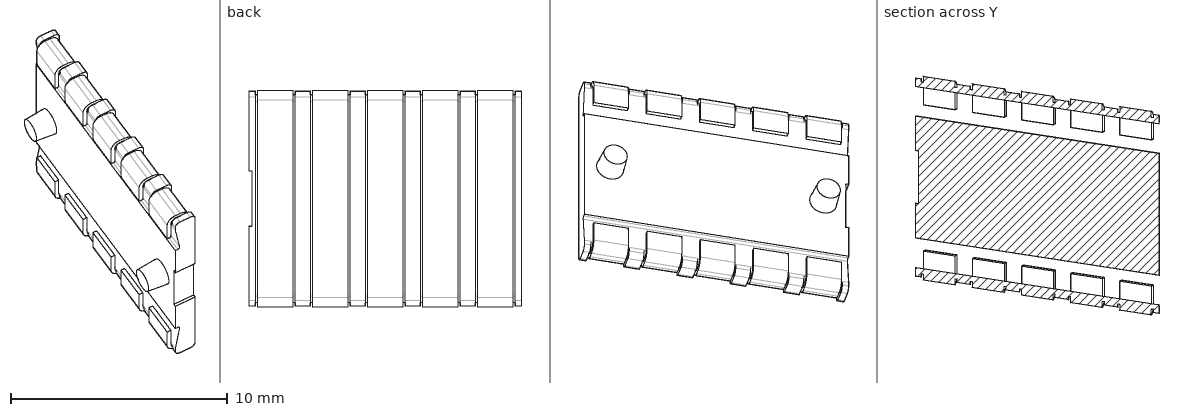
import cadquery as cq


length = 12.6
board_height = 9.93
board_depth = 1.07
board_back_radius = 0.26
board_front_radius = 0.25

plateau_height = 5.92
trough_top_offset = 0.47
trough_depth = 0.25
trough_fillet = 0.1

contact_count = 5
contact_span = 10.15
contact_pitch = contact_span / (contact_count - 1)
contact_width = 1.65
contact_height = 10.0
contact_thickness = 0.2
contact_back_depth = 0.13
contact_bend_radius = 0.44
tab_length = 1.46
slot_width = 1.83

core_back_depth = contact_back_depth + contact_thickness
core_height = contact_height - 2 * contact_thickness
core_back_radius = 0.32
core_front_radius = contact_bend_radius - contact_thickness

pin_tip_depth = 2.1
pin_root_diameter = 1.29
pin_tip_diameter = 1.11

notch_height = 2.55
notch_depth = 0.14

contact_positions = [(i - (contact_count - 1) / 2) * contact_pitch for i in range(contact_count)]


def block(width, near_depth, far_depth, height):
    """Box centred on X and Z, spanning the given depths in front of the back face."""
    middle_depth = (near_depth + far_depth) / 2
    return cq.Workplane("XY").box(width, far_depth - near_depth, height).translate((0, -middle_depth, 0))


def rounded_block(width, near_depth, far_depth, height, back_radius, front_radius):
    """Block whose edges along X are rounded."""
    body = block(width, near_depth, far_depth, height)
    return body.edges("|X and >Y").fillet(back_radius).edges("|X and <Y").fillet(front_radius)


def make_trough():
    """Upper trough: a slope sinking toward the plateau, filleted at the plateau wall."""
    slope_start = board_height / 2 - trough_top_offset
    wall = plateau_height / 2
    trough = (
        cq.Workplane("YZ")
        .moveTo(-board_depth, slope_start)
        .lineTo(-board_depth + trough_depth, wall)
        .lineTo(-board_depth, wall)
        .close()
        .extrude(length / 2, both=True)
    )
    return trough.edges("|X and >Y").fillet(trough_fillet)


def make_board():
    board = rounded_block(length, 0, board_depth, board_height, board_back_radius, board_front_radius)
    trough = make_trough()
    notch = cq.Workplane("XY").box(2 * notch_depth, 2 * board_depth, notch_height)
    return board.cut(trough).cut(trough.mirror("XY")).cut(notch.translate((length / 2, 0, 0)))


def make_core(width):
    return rounded_block(width, core_back_depth, board_depth, core_height, core_back_radius, core_front_radius)


def make_slot():
    """Everything around the core within one slot width."""
    surround = block(slot_width, 0, board_depth, contact_height)
    return surround.cut(make_core(slot_width))


def make_contact():
    """Strip running up the back and bent over both edges onto the front."""
    front_depth = board_depth + contact_thickness
    strip = rounded_block(
        contact_width, contact_back_depth, front_depth, contact_height,
        contact_bend_radius, contact_bend_radius,
    )
    front_gap = block(contact_width, board_depth, front_depth, contact_height - 2 * tab_length)
    return strip.cut(make_core(contact_width)).cut(front_gap)


def make_pin():
    return (
        cq.Workplane("XZ", origin=(0, -board_depth, 0))
        .circle(pin_root_diameter / 2)
        .workplane(offset=pin_tip_depth - board_depth)
        .circle(pin_tip_diameter / 2)
        .loft()
    )


result = make_board()
slot = make_slot()
contact = make_contact()
for x in contact_positions:
    result = result.cut(slot.translate((x, 0, 0))).union(contact.translate((x, 0, 0)))

pin = make_pin()
for x in (contact_positions[0], contact_positions[-1]):
    result = result.union(pin.translate((x, 0, 0)))